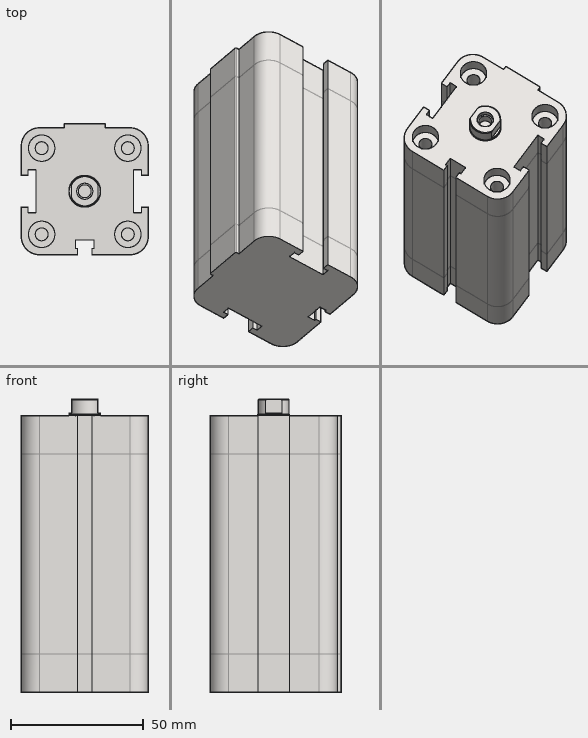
import cadquery as cq

total_height = 110.5
housing_width = 48.0
corner_radius = 7.0
rod_height = 6.2
housing_height = total_height - rod_height

cap_height = 14.5
barrel_height = housing_height - 2 * cap_height

pad_width = 15.6
pad_height = 1.5
pad_edge_radius = 0.3

side_slot_mouth = 11.9
side_slot_inner = 16.1
side_slot_lip = 2.7
side_slot_depth = 5.5

front_slot_mouth = 5.4
front_slot_inner = 7.0
front_slot_lip = 2.4
front_slot_depth = 5.5

mount_spacing = 32.5
mount_hole_diameter = 4.9
mount_hole_depth = cap_height
mount_counterbore_diameter = 10.0
mount_counterbore_depth = 5.9

collar_diameter = 12.0
collar_height = 0.5
rod_diameter = 11.7
rod_chamfer = 0.3
flats_width = 10.0
flats_base = 1.0
rod_bore_diameter = 4.9
rod_recess_diameter = 6.1
rod_recess_depth = 2.1


def t_slot(mouth, inner, lip, depth, height, turn):
    """T-slot cutter opening on the -Y face, turned about Z by the given angle."""
    face = -housing_width / 2
    slot = (
        cq.Workplane("XY")
        .moveTo(-mouth / 2, face)
        .lineTo(-mouth / 2, face + lip)
        .lineTo(-inner / 2, face + lip)
        .lineTo(-inner / 2, face + depth)
        .lineTo(inner / 2, face + depth)
        .lineTo(inner / 2, face + lip)
        .lineTo(mouth / 2, face + lip)
        .lineTo(mouth / 2, face)
        .close()
        .extrude(height)
    )
    return slot.rotate((0, 0, 0), (0, 0, 1), turn)


def profile_section(height):
    """Length of the slotted housing profile standing on Z = 0."""
    section = cq.Workplane("XY").rect(housing_width, housing_width).extrude(height)
    section = section.edges("|Z").fillet(corner_radius)

    pad_reach = housing_width / 2 + pad_height
    pad = cq.Workplane("XY").center(0, pad_reach / 2).rect(pad_width, pad_reach).extrude(height)
    pad = pad.edges("|Z and >Y").fillet(pad_edge_radius)
    section = section.union(pad)

    section = section.cut(
        t_slot(front_slot_mouth, front_slot_inner, front_slot_lip, front_slot_depth, height, 0)
    )
    for turn in (90, -90):
        section = section.cut(
            t_slot(side_slot_mouth, side_slot_inner, side_slot_lip, side_slot_depth, height, turn)
        )
    return section


def make_housing():
    """One solid whose outer faces are divided where the caps meet the barrel."""
    bottom_cap = profile_section(cap_height)
    barrel = profile_section(barrel_height).translate((0, 0, cap_height))
    top_cap = (
        profile_section(cap_height)
        .faces(">Z")
        .workplane(origin=(0, 0, cap_height))
        .rect(mount_spacing, mount_spacing, forConstruction=True)
        .vertices()
        .cboreHole(
            mount_hole_diameter, mount_counterbore_diameter, mount_counterbore_depth, mount_hole_depth
        )
        .translate((0, 0, cap_height + barrel_height))
    )
    return bottom_cap.union(barrel, clean=False).union(top_cap, clean=False)


def make_rod():
    """Rod end standing on the housing top."""
    rod = cq.Workplane("XY").circle(rod_diameter / 2).extrude(rod_height)
    rod = rod.faces(">Z").edges().chamfer(rod_chamfer)

    flats = (
        cq.Workplane("XY")
        .workplane(offset=flats_base)
        .rect(2 * collar_diameter, 2 * collar_diameter)
        .rect(flats_width, 2 * collar_diameter)
        .extrude(rod_height - flats_base)
    )
    rod = rod.cut(flats)

    collar = cq.Workplane("XY").circle(collar_diameter / 2).extrude(collar_height)
    collar = collar.faces(">Z").edges().chamfer((collar_diameter - rod_diameter) / 2)
    rod = rod.union(collar)
    rod = rod.faces(">Z").workplane(origin=(0, 0, rod_height)).cboreHole(
        rod_bore_diameter, rod_recess_diameter, rod_recess_depth
    )
    return rod.translate((0, 0, housing_height))


housing = make_housing()
rod = make_rod()
result = cq.Compound.makeCompound([housing.val(), rod.val()])